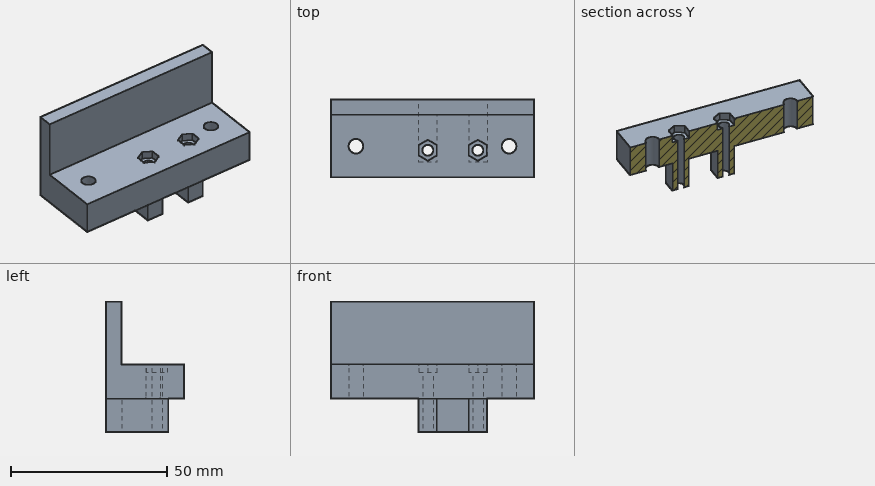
import cadquery as cq
import math

base_length = 65.0
base_depth = 25.0
base_height = 11.0

plate_thickness = 5.0
plate_height = 20.0

foot_center_x = 39.0
foot_width = 22.0
foot_depth = 20.0
foot_height = 10.7
slot_width = 10.2
foot_wall_thickness = plate_thickness

mount_diameter = 4.6
mount_spacing = 49.0
mount_y = 10.0

screw_diameter = 3.4
screw_spacing = 16.0
screw_y = 8.7
nut_across_flats = 5.8
nut_pocket_depth = 2.6
hexagon_half_angle = 30.0

base_top = base_height
foot_bottom = -foot_height


def box_at(x, y, z, length, depth, height):
    """Box whose minimum corner is at (x, y, z)."""
    return cq.Workplane("XY").box(length, depth, height, centered=False).translate((x, y, z))


def pair_along_x(center_x, spacing, y):
    """Two points at the same Y, spaced evenly about center_x."""
    return [(center_x - spacing / 2, y), (center_x + spacing / 2, y)]


def make_angle_bracket():
    base = box_at(0, 0, 0, base_length, base_depth, base_height)
    plate_y = base_depth - plate_thickness
    plate = box_at(0, plate_y, base_top, base_length, plate_thickness, plate_height)
    return base.union(plate)


def make_foot():
    foot_y = base_depth - foot_depth
    foot_x = foot_center_x - foot_width / 2
    slot_x = foot_center_x - slot_width / 2
    slot_depth = foot_depth - foot_wall_thickness
    block = box_at(foot_x, foot_y, foot_bottom, foot_width, foot_depth, foot_height)
    slot = box_at(slot_x, foot_y, foot_bottom, slot_width, slot_depth, foot_height)
    return block.cut(slot)


def make_mount_holes():
    centers = pair_along_x(base_length / 2, mount_spacing, mount_y)
    return cq.Workplane("XY").pushPoints(centers).circle(mount_diameter / 2).extrude(base_height)


def make_nut_pocket(center):
    """Hexagonal prism sunk into the top of the base, with corners pointing along Y."""
    across_corners = nut_across_flats / math.cos(math.radians(hexagon_half_angle))
    pocket = cq.Workplane("XY").polygon(6, across_corners).extrude(-nut_pocket_depth)
    turned = pocket.rotate((0, 0, 0), (0, 0, 1), hexagon_half_angle)
    return turned.translate((center[0], center[1], base_top))


def make_screw_holes():
    centers = pair_along_x(foot_center_x, screw_spacing, screw_y)
    holes = (
        cq.Workplane("XY", origin=(0, 0, foot_bottom))
        .pushPoints(centers)
        .circle(screw_diameter / 2)
        .extrude(foot_height + base_height)
    )
    for center in centers:
        holes = holes.union(make_nut_pocket(center))
    return holes


result = (
    make_angle_bracket()
    .union(make_foot())
    .cut(make_mount_holes())
    .cut(make_screw_holes())
)